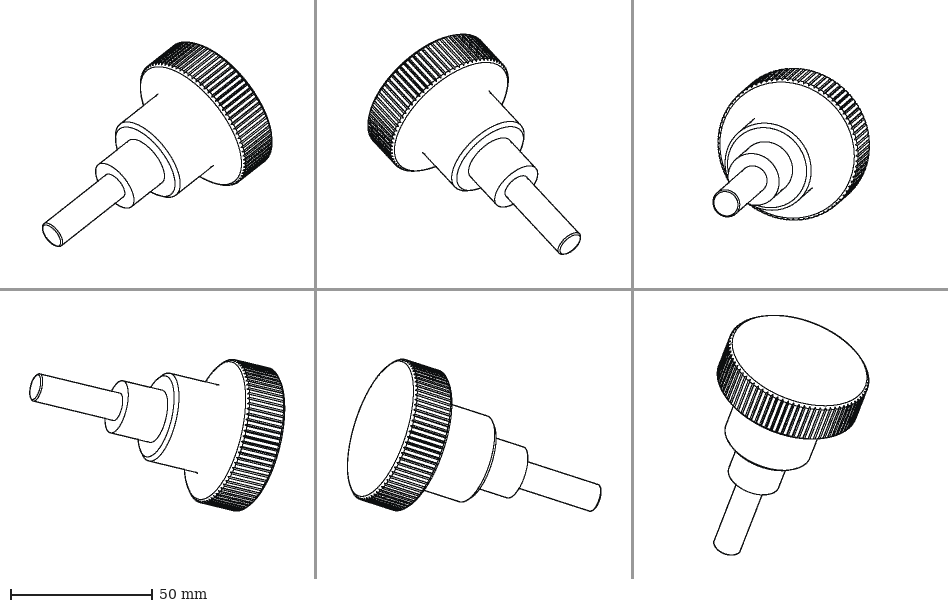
import cadquery as cq
import math

TOTAL_LENGTH = 86.0

HEAD_DIAMETER = 52.0
HEAD_LENGTH = 15.4
HEAD_CHAMFER = 1.0
GROOVE_COUNT = 80
GROOVE_WIDTH = 0.8
GROOVE_DEPTH = 0.5

HUB_DIAMETER = 32.0
HUB_END = 38.5
HUB_CHAMFER = 1.3
NECK_FILLET = 3.1

COLLAR_DIAMETER = 19.0
COLLAR_END = 54.0
PIN_DIAMETER = 10.0
PIN_CHAMFER = 0.5


def cylinder(diameter, start, end):
    """Cylinder about the Y axis, from y = -start to y = -end."""
    base = cq.Workplane("XZ", origin=(0, -start, 0))
    return base.circle(diameter / 2).extrude(end - start)


def make_groove_cutter():
    """Triangular bar along the top of the head, GROOVE_WIDTH wide at the rim and tapering inwards.

    It continues one groove depth beyond the rim, where it is twice as wide.
    """
    radius = HEAD_DIAMETER / 2
    return (
        cq.Workplane("XZ")
        .moveTo(0, radius - GROOVE_DEPTH)
        .lineTo(GROOVE_WIDTH, radius + GROOVE_DEPTH)
        .lineTo(-GROOVE_WIDTH, radius + GROOVE_DEPTH)
        .close()
        .extrude(HEAD_LENGTH)
    )


def make_head():
    head = cylinder(HEAD_DIAMETER, 0, HEAD_LENGTH).edges().chamfer(HEAD_CHAMFER)
    groove = make_groove_cutter().val()
    pitch_angle = 360 / GROOVE_COUNT
    grooves = [
        groove.rotate(cq.Vector(0, 0, 0), cq.Vector(0, 1, 0), i * pitch_angle)
        for i in range(GROOVE_COUNT)
    ]
    return cq.Workplane(head.val().cut(*grooves))


def make_hub():
    """Hub outline turned about the Y axis, flaring into the head through a concave fillet."""
    radius = HUB_DIAMETER / 2
    flare_radius = radius + NECK_FILLET
    fillet_mid_offset = NECK_FILLET * (1 - math.sqrt(0.5))
    return (
        cq.Workplane("XY")
        .moveTo(0, -HEAD_LENGTH / 2)
        .lineTo(flare_radius, -HEAD_LENGTH / 2)
        .lineTo(flare_radius, -HEAD_LENGTH)
        .threePointArc(
            (radius + fillet_mid_offset, -HEAD_LENGTH - fillet_mid_offset),
            (radius, -HEAD_LENGTH - NECK_FILLET),
        )
        .lineTo(radius, -HUB_END + HUB_CHAMFER)
        .lineTo(radius - HUB_CHAMFER, -HUB_END)
        .lineTo(0, -HUB_END)
        .close()
        .revolve(360, (0, 0), (0, 1))
    )


def make_knob():
    return make_head().union(make_hub())


def make_stud():
    collar = cylinder(COLLAR_DIAMETER, HUB_END, COLLAR_END)
    pin = cylinder(PIN_DIAMETER, COLLAR_END, TOTAL_LENGTH).faces("<Y").chamfer(PIN_CHAMFER)
    return collar.union(pin)


knob = make_knob()
stud = make_stud()

result = cq.Compound.makeCompound([knob.val(), stud.val()])